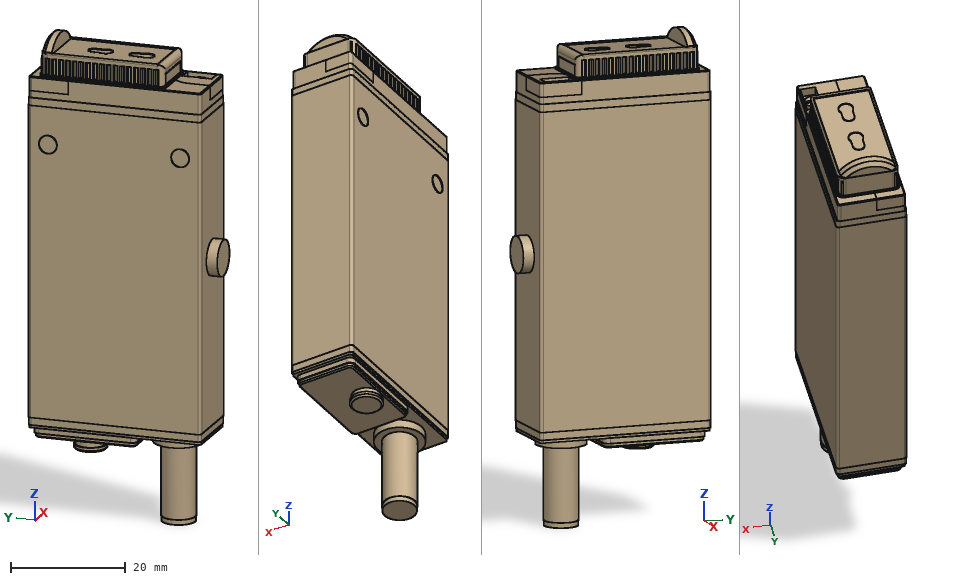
import cadquery as cq


WIDTH = 12.7
DEPTH = 31.9
SHELL_BOTTOM, SHELL_TOP = 17.95, 74.8
BAND_HEIGHT = 1.4
BAND_SIDE_INSET, BAND_FACE_INSET = 0.04, 0.04
END_SIDE_INSET, END_FACE_INSET = 0.3, 0.1
BASE_Z, DECK_Z = 16.0, 80.0
CORNER_RADIUS = 0.5
DECK_CHAMFER = 0.2

MARK_RADIUS = 1.65
MARK_DEPTH = 0.2
MARK_Z = 68.0
MARK_YS = (3.8, 28.2)

BUTTON_RADIUS = 3.3
BUTTON_LENGTH = 2.0
BUTTON_Z = 48.6

CABLE_RADIUS = 3.1
CABLE_Y = 6.25
GLAND_RADIUS = 4.5
GLAND_HEIGHT = 1.6
CABLE_SHEATH_Z = 0.95
CABLE_TIP_INSET = 0.1

HATCH_WIDTH = 11.6
HATCH_FRONT, HATCH_BACK = 12.1, 31.1
HATCH_MID_Z, HATCH_BOTTOM_Z = 15.0, 14.2
HATCH_STEP = 0.2
HATCH_CORNER = 1.0
HATCH_CHAMFER = 0.3
KNOB_X, KNOB_Y = -2.8, 21.5
KNOB_NECK_RADIUS, KNOB_RADIUS = 2.7, 2.95
KNOB_MID_Z, KNOB_BOTTOM_Z = 13.3, 12.4
KNOB_CHAMFER = 0.35

CAP_WIDTH = 10.75
CAP_FRONT, CAP_BACK = 7.2, 29.9
CAP_TOP = 84.3
CAP_CORNER = 1.2
CAP_SIDE_ROUND = 0.2
CAP_FRONT_ROUND = 1.0
FOOT_OUTSET = 0.3
FOOT_HEIGHT = 0.3

TOP_PANEL_WIDTH = 9.9
TOP_PANEL_FRONT = 8.4
TOP_PANEL_Z = 84.0
FRONT_PANEL_WIDTH = 8.3
FRONT_PANEL_TOP = 82.4
FRONT_PANEL_DEPTH = 0.2

GROOVE_COUNT = 17
GROOVE_PITCH = 1.26
GROOVE_MOUTH, GROOVE_ROOT = 0.9, 0.4
GROOVE_DEPTH = 0.3
GROOVE_BOTTOM, GROOVE_TOP = 80.4, 83.3

KEYHOLE_CENTERS_Y = (12.05, 19.7)
KEYHOLE_RADIUS = 1.3
KEYHOLE_SLOT_WIDTH = 2.1
KEYHOLE_REACH = 3.2
KEYHOLE_DEPTH = 0.2

TAB_TOP = 86.7
TAB_WIDTH = 9.9
TAB_RISE = 2.3
TAB_FRONT, TAB_BACK = 27.9, 29.8
TAB_CHAMFER = 0.7

INLAY_EDGE_X = -0.91
INLAY_HEIGHT = 2.6
INLAY_CURVE = 3.7
FRONT_INLAY_BACK = 7.8
BACK_INLAY_FRONT = 24.5

RECESS_LEFT, RECESS_RIGHT = 2.95, 5.6
RECESS_FRONT, RECESS_BACK = 1.2, 6.6
RECESS_DEPTH = 1.7
DIAL_RADIUS = 1.2
DIAL_HEIGHT = 1.0
DIAL_SLOT_WIDTH = 0.4
DIAL_SLOT_DEPTH = 0.5


def box(x0, x1, y0, y1, z0, z1):
    return cq.Workplane("XY").box(x1 - x0, y1 - y0, z1 - z0, centered=False).translate((x0, y0, z0))


def post(x, y, radius, z0, z1):
    return cq.Workplane("XY", origin=(x, y, z0)).circle(radius).extrude(z1 - z0)


def shell_slice(z0, z1, side_inset, face_inset):
    """Slice of the housing with rounded upright edges."""
    half = WIDTH / 2 - side_inset
    return box(-half, half, face_inset, DEPTH - face_inset, z0, z1).edges("|Z").fillet(CORNER_RADIUS)


def outer_shell():
    band_bottom = SHELL_BOTTOM - BAND_HEIGHT
    band_top = SHELL_TOP + BAND_HEIGHT
    body = shell_slice(SHELL_BOTTOM, SHELL_TOP, 0, 0)
    body = body.union(shell_slice(band_bottom, band_top, BAND_SIDE_INSET, BAND_FACE_INSET))
    ends = shell_slice(BASE_Z, DECK_Z, END_SIDE_INSET, END_FACE_INSET).faces(">Z").chamfer(DECK_CHAMFER)
    return body.union(ends)


def side_marks():
    return (cq.Workplane("YZ", origin=(-WIDTH / 2, 0, 0))
            .pushPoints([(y, MARK_Z) for y in MARK_YS]).circle(MARK_RADIUS).extrude(MARK_DEPTH))


def button():
    return cq.Workplane("XZ", origin=(0, 0, BUTTON_Z)).circle(BUTTON_RADIUS).extrude(BUTTON_LENGTH)


def cable():
    gland = post(0, CABLE_Y, GLAND_RADIUS, BASE_Z - GLAND_HEIGHT, BASE_Z)
    sheath = post(0, CABLE_Y, CABLE_RADIUS, CABLE_SHEATH_Z, BASE_Z)
    tip = post(0, CABLE_Y, CABLE_RADIUS - CABLE_TIP_INSET, 0, CABLE_SHEATH_Z)
    return gland.union(sheath).union(tip)


def hatch():
    half = HATCH_WIDTH / 2
    upper = box(-half, half, HATCH_FRONT, HATCH_BACK, HATCH_MID_Z, BASE_Z).edges("|Z").fillet(HATCH_CORNER)
    half -= HATCH_STEP
    lower = box(-half, half, HATCH_FRONT + HATCH_STEP, HATCH_BACK - HATCH_STEP, HATCH_BOTTOM_Z, HATCH_MID_Z)
    lower = lower.edges("|Z").fillet(HATCH_CORNER).faces("<Z").chamfer(HATCH_CHAMFER)
    neck = post(KNOB_X, KNOB_Y, KNOB_NECK_RADIUS, KNOB_MID_Z, HATCH_BOTTOM_Z)
    knob = post(KNOB_X, KNOB_Y, KNOB_RADIUS, KNOB_BOTTOM_Z, KNOB_MID_Z).faces("<Z").chamfer(KNOB_CHAMFER)
    return upper.union(lower).union(neck).union(knob)


def inlay_zones():
    """Front-right and back-left corner blocks of the deck, before trimming to the housing."""
    floor = DECK_Z - INLAY_HEIGHT
    side = WIDTH / 2
    front = box(INLAY_EDGE_X, side, 0, FRONT_INLAY_BACK, floor, DECK_Z)
    front = front.edges("|Z and <X and >Y").fillet(INLAY_CURVE)
    back = box(-side, INLAY_EDGE_X, BACK_INLAY_FRONT, DEPTH, floor, DECK_Z)
    return front.union(back)


def adjuster_recess():
    """Recess with a slotted dial left standing on its floor."""
    floor = DECK_Z - RECESS_DEPTH
    dial_x = (RECESS_LEFT + RECESS_RIGHT) / 2
    dial_y = (RECESS_FRONT + RECESS_BACK) / 2
    dial_top = floor + DIAL_HEIGHT
    slot = cq.Workplane("XY").box(2 * DIAL_RADIUS, DIAL_SLOT_WIDTH, 2 * DIAL_SLOT_DEPTH)
    slot = slot.translate((dial_x, dial_y, dial_top))
    dial = post(dial_x, dial_y, DIAL_RADIUS, floor, dial_top).cut(slot)
    return box(RECESS_LEFT, RECESS_RIGHT, RECESS_FRONT, RECESS_BACK, floor, DECK_Z).cut(dial)


def cap():
    half = CAP_WIDTH / 2
    body = box(-half, half, CAP_FRONT, CAP_BACK, DECK_Z, CAP_TOP)
    plan = body.edges("|Z").fillet(CAP_CORNER)
    side_rounded = body.edges(">Z and |Y").fillet(CAP_SIDE_ROUND)
    front_rounded = body.edges(">Z and <Y").fillet(CAP_FRONT_ROUND)
    body = plan.intersect(side_rounded).intersect(front_rounded)
    half += FOOT_OUTSET
    foot = box(-half, half, CAP_FRONT - FOOT_OUTSET, CAP_BACK + FOOT_OUTSET, DECK_Z, DECK_Z + FOOT_HEIGHT)
    return body.union(foot.edges("|Z").fillet(CAP_CORNER))


def grip_grooves():
    middle_y = (CAP_FRONT + CAP_BACK) / 2
    first_y = middle_y - (GROOVE_COUNT - 1) / 2 * GROOVE_PITCH
    grooves = cq.Workplane("XY")
    for side in (-1, 1):
        mouth_x = side * CAP_WIDTH / 2
        root_x = mouth_x - side * GROOVE_DEPTH
        for i in range(GROOVE_COUNT):
            y = first_y + i * GROOVE_PITCH
            groove = (cq.Workplane("XY", origin=(0, y, GROOVE_BOTTOM))
                      .moveTo(mouth_x, -GROOVE_MOUTH / 2).lineTo(root_x, -GROOVE_ROOT / 2)
                      .lineTo(root_x, GROOVE_ROOT / 2).lineTo(mouth_x, GROOVE_MOUTH / 2).close()
                      .extrude(GROOVE_TOP - GROOVE_BOTTOM))
            grooves.add(groove)
    return grooves.combine()


def sunken_panels():
    top_half = TOP_PANEL_WIDTH / 2
    front_half = FRONT_PANEL_WIDTH / 2
    panel_y = CAP_FRONT + FRONT_PANEL_DEPTH
    top = box(-top_half, top_half, TOP_PANEL_FRONT, TAB_FRONT, TOP_PANEL_Z, CAP_TOP)
    front = box(-front_half, front_half, CAP_FRONT, panel_y, DECK_Z + FOOT_HEIGHT, FRONT_PANEL_TOP)
    return top.union(front)


def keyhole(y):
    floor = TOP_PANEL_Z - KEYHOLE_DEPTH
    half = KEYHOLE_SLOT_WIDTH / 2
    slot_end_y = y + KEYHOLE_REACH - half
    slot = box(-half, half, y, slot_end_y, floor, TOP_PANEL_Z)
    slot_end = post(0, slot_end_y, half, floor, TOP_PANEL_Z)
    return post(0, y, KEYHOLE_RADIUS, floor, TOP_PANEL_Z).union(slot).union(slot_end)


def pull_tab():
    half = TAB_WIDTH / 2
    shoulder = TAB_TOP - TAB_RISE
    tab = (cq.Workplane("XZ", origin=(0, TAB_BACK, 0))
           .moveTo(-half, DECK_Z).lineTo(-half, shoulder)
           .threePointArc((0, TAB_TOP), (half, shoulder)).lineTo(half, DECK_Z).close()
           .extrude(TAB_BACK - TAB_FRONT))
    return tab.faces(">Y").edges("%CIRCLE").chamfer(TAB_CHAMFER)


shell = outer_shell()
inlays = shell.intersect(inlay_zones())

housing = shell.cut(inlays).cut(side_marks()).union(button()).union(cable()).union(hatch())

cover = cap().cut(grip_grooves()).cut(sunken_panels()).union(pull_tab())
for keyhole_y in KEYHOLE_CENTERS_Y:
    cover = cover.cut(keyhole(keyhole_y))
cover = cover.union(inlays.cut(adjuster_recess()))

result = cq.Compound.makeCompound([housing.val(), cover.val()])